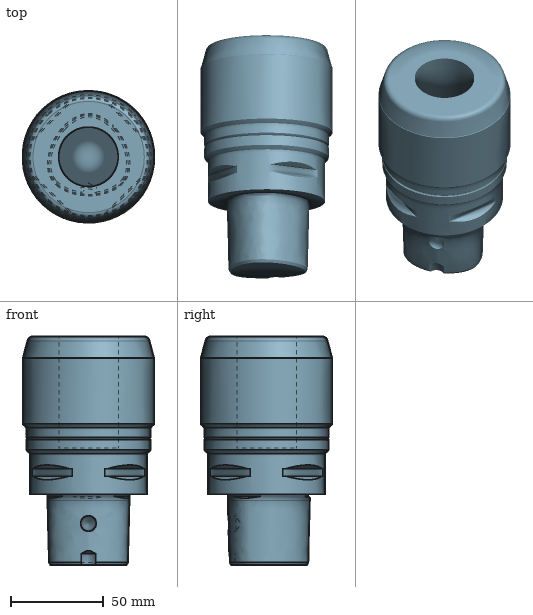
import cadquery as cq
import math

body_height = 85.0
shank_length = 38.0

nut_radius = 35.5
ring_radius = nut_radius - 2.0
flange_radius = 31.5
nut_bottom = 38.0
ring_bottom = 24.0
groove_top = 30.7
groove_bottom = 29.3
groove_floor_radius = ring_radius - (groove_top - groove_bottom)
nose_length = 11.5
nose_step = 0.2
nose_angle = math.radians(15)
nose_fillet = 3.0

bore_radius = 16.0
bore_depth = 60.0

slot_count = 4
slot_first_angle = 45.0
slot_floor_distance = 27.6
slot_flare_distance = 28.4
slot_floor_height = 4.0
slot_mouth_height = 8.0
slot_center_height = 11.9

shank_mean_radius = 22.15
lobe_rise = 1.25
lobe_count = 3
lobe_angle = math.radians(90)
curve_points = 48
shank_straight_length = 3.1
shank_taper = 1 / 20
shank_chamfer_height = 1.5
shank_chamfer_width = 0.9
neck_radius = 22.4
neck_straight_length = 1.0
neck_outer_radius = 25.0

dimple_radius = 4.15
dimple_height = -15.6
dimple_floor = 16.5
notch_radius = 4.2
notch_axis_distance = 21.3
notch_depth = 6.0
drill_half_angle = math.radians(59)


def make_body():
    """Turned nut, grooved ring and flange above the flange face."""
    nose_bottom = body_height - nose_length
    nose_radius = nut_radius - nose_step
    nose_top_radius = nose_radius - nose_length * math.tan(nose_angle)
    ring_chamfer = ring_radius - flange_radius
    nut_chamfer = nut_radius - ring_radius
    profile = [
        (0, 0),
        (flange_radius, 0),
        (flange_radius, ring_bottom - ring_chamfer),
        (ring_radius, ring_bottom),
        (ring_radius, groove_bottom),
        (groove_floor_radius, groove_bottom),
        (ring_radius, groove_top),
        (ring_radius, nut_bottom - nut_chamfer),
        (nut_radius, nut_bottom),
        (nut_radius, nose_bottom - nose_step),
        (nose_radius, nose_bottom),
        (nose_top_radius, body_height),
        (0, body_height),
    ]
    body = cq.Workplane("XZ").polyline(profile).close().revolve(360, (0, 0), (0, 1))
    return body.faces(">Z").edges().fillet(nose_fillet)


def make_bore():
    return cq.Workplane("XY", origin=(0, 0, body_height)).circle(bore_radius).extrude(-bore_depth)


def make_wrench_slot(angle):
    """Flat-bottomed slot whose upper and lower walls flare towards the mouth."""
    floor_half = slot_floor_height / 2
    mouth_half = slot_mouth_height / 2
    profile = [
        (slot_floor_distance, -floor_half),
        (slot_flare_distance, -floor_half),
        (flange_radius, -mouth_half),
        (flange_radius, mouth_half),
        (slot_flare_distance, floor_half),
        (slot_floor_distance, floor_half),
    ]
    slot = cq.Workplane("XZ", origin=(0, 0, slot_center_height)).polyline(profile).close()
    return slot.extrude(flange_radius, both=True).rotate((0, 0, 0), (0, 0, 1), angle)


def lobed_wire(mean_radius, height):
    """Constant-width curve with its support distance rising at every lobe."""
    def point(turn):
        angle = 2 * math.pi * turn
        phase = lobe_count * (angle - lobe_angle)
        support = mean_radius + lobe_rise * math.cos(phase)
        slope = -lobe_count * lobe_rise * math.sin(phase)
        x = support * math.cos(angle) - slope * math.sin(angle)
        y = support * math.sin(angle) + slope * math.cos(angle)
        return (x, y, height)

    points = [cq.Vector(*point(i / curve_points)) for i in range(curve_points)]
    return cq.Wire.assembleEdges([cq.Edge.makeSpline(points, periodic=True)])


def lobed_section(top_radius, top_height, bottom_radius, bottom_height):
    wires = [lobed_wire(top_radius, top_height), lobed_wire(bottom_radius, bottom_height)]
    return cq.Workplane(obj=cq.Solid.makeLoft(wires, True))


def make_shank():
    taper_end = -shank_length + shank_chamfer_height
    taper_length = -shank_straight_length - taper_end
    tip_radius = shank_mean_radius - taper_length * shank_taper / 2
    straight = lobed_section(shank_mean_radius, 0, shank_mean_radius, -shank_straight_length)
    taper = lobed_section(shank_mean_radius, -shank_straight_length, tip_radius, taper_end)
    chamfer = lobed_section(tip_radius, taper_end, tip_radius - shank_chamfer_width, -shank_length)
    return straight.union(taper).union(chamfer)


def make_neck_relief():
    """Ring just below the flange that trims the lobe tips to a round neck."""
    flare = neck_outer_radius - neck_radius
    profile = [
        (neck_radius, 0),
        (neck_outer_radius, 0),
        (neck_outer_radius, -neck_straight_length - flare),
        (neck_radius, -neck_straight_length),
    ]
    return cq.Workplane("XZ").polyline(profile).close().revolve(360, (0, 0), (0, 1))


def make_drill(radius, length):
    """Pointed drill along +Z: full width up to the given length, then the tip."""
    tip_height = radius / math.tan(drill_half_angle)
    profile = [(0, 0), (radius, 0), (radius, length), (0, length + tip_height)]
    return cq.Workplane("XZ").polyline(profile).close().revolve(360, (0, 0), (0, 1))


def make_dimple():
    drill = make_drill(dimple_radius, flange_radius - dimple_floor)
    drill = drill.rotate((0, 0, 0), (1, 0, 0), -90)
    return drill.translate((0, -flange_radius, dimple_height))


def make_key_notch():
    drill = make_drill(notch_radius, notch_depth)
    return drill.translate((0, -notch_axis_distance, -shank_length))


body = make_body().cut(make_bore())
for index in range(slot_count):
    body = body.cut(make_wrench_slot(slot_first_angle + index * 360 / slot_count))

shank = make_shank().cut(make_neck_relief()).cut(make_dimple()).cut(make_key_notch())

result = body.union(shank)